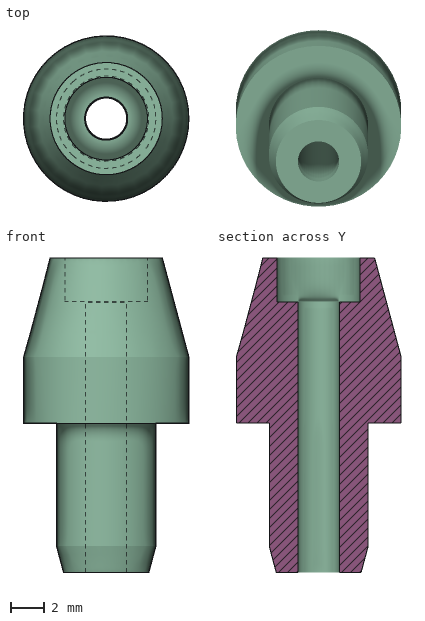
import cadquery as cq
import math

total_height = 19.0
head_diameter = 10.0
shank_diameter = 6.0
shank_length = 9.0
tip_length = 1.6
head_taper_length = 6.0
taper_angle = 15.0
socket_diameter = 5.0
socket_depth = 2.65
bore_diameter = 2.49
bore_chamfer = 0.05

head_radius = head_diameter / 2
shank_radius = shank_diameter / 2
taper_slope = math.tan(math.radians(taper_angle))
rim_radius = head_radius - head_taper_length * taper_slope
tip_radius = shank_radius - tip_length * taper_slope

body = (
    cq.Workplane("XZ")
    .moveTo(0, 0)
    .lineTo(tip_radius, 0)
    .lineTo(shank_radius, tip_length)
    .lineTo(shank_radius, shank_length)
    .lineTo(head_radius, shank_length)
    .lineTo(head_radius, total_height - head_taper_length)
    .lineTo(rim_radius, total_height)
    .lineTo(0, total_height)
    .close()
    .revolve(360, (0, 0, 0), (0, 1, 0))
)

drilled = body.faces(">Z").workplane().cboreHole(bore_diameter, socket_diameter, socket_depth)

bore_mouth = cq.selectors.RadiusNthSelector(0)
result = drilled.edges("%Circle").edges(bore_mouth).edges(">Z").chamfer(bore_chamfer)